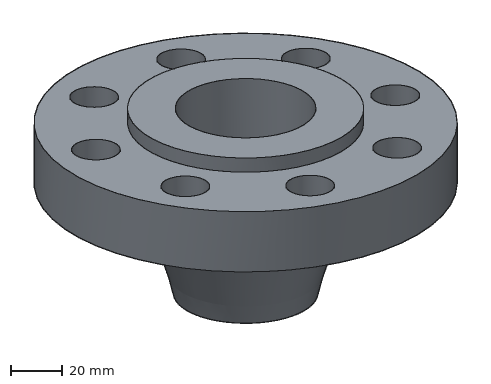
import cadquery as cq

flange_diameter = 165.1
flange_thickness = 26.0
face_diameter = 92.1
face_height = 6.1
total_height = 79.4

bore_diameter = 54.8
bolt_hole_diameter = 19.0
bolt_circle_diameter = 127.1
bolt_count = 8

neck_root_radius = 42.6
neck_end_radius = 30.2
neck_fillet_radius = 7.5
bevel_height = 8.1
bevel_end_radius = 28.2

flange_top = total_height - face_height
flange_bottom = flange_top - flange_thickness


def revolved_body():
    """Solid of the face, disc and neck, revolved about Z."""
    flange_radius = flange_diameter / 2
    face_radius = face_diameter / 2
    return (
        cq.Workplane("XZ")
        .moveTo(0, 0)
        .lineTo(bevel_end_radius, 0)
        .lineTo(neck_end_radius, bevel_height)
        .lineTo(neck_root_radius, flange_bottom)
        .lineTo(flange_radius, flange_bottom)
        .lineTo(flange_radius, flange_top)
        .lineTo(face_radius, flange_top)
        .lineTo(face_radius, total_height)
        .lineTo(0, total_height)
        .close()
        .revolve(360, (0, 0, 0), (0, 1, 0))
    )


def fillet_neck_root(body):
    """Round the inside corner where the neck meets the disc."""
    third_smallest_circle = cq.selectors.RadiusNthSelector(2)
    root_edge = body.edges("%CIRCLE").edges(third_smallest_circle)
    return root_edge.fillet(neck_fillet_radius)


def bore_cutter():
    return cq.Workplane("XY").circle(bore_diameter / 2).extrude(total_height)


def bolt_hole_cutter():
    """One bolt hole lies on each of the X and Y axes."""
    return (
        cq.Workplane("XY", origin=(0, 0, flange_bottom))
        .polarArray(bolt_circle_diameter / 2, 0, 360, bolt_count)
        .circle(bolt_hole_diameter / 2)
        .extrude(flange_thickness)
    )


result = fillet_neck_root(revolved_body()).cut(bore_cutter()).cut(bolt_hole_cutter())